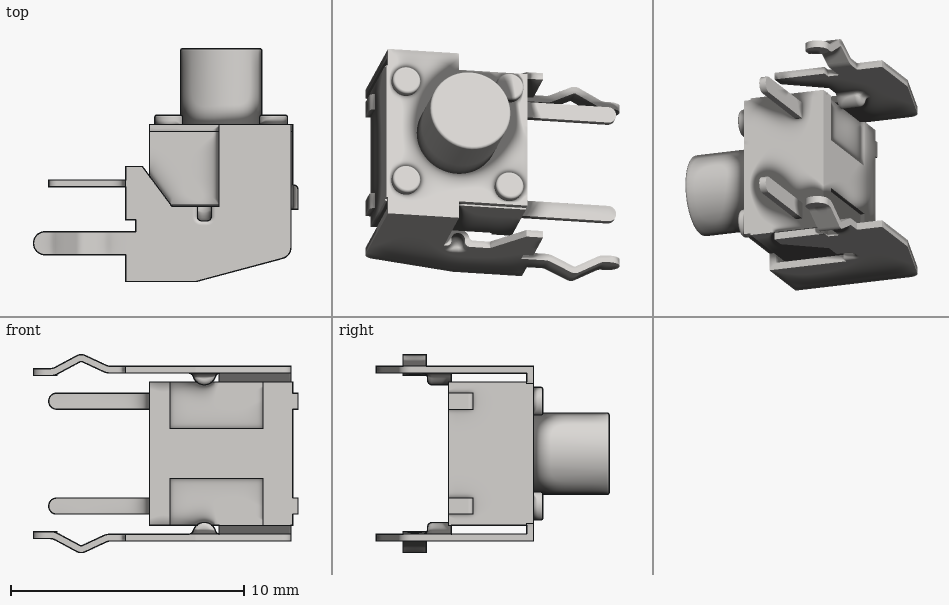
import cadquery as cq
import math


SHEET = 0.3

BODY_SIZE = 6.15
BODY_HALF = BODY_SIZE / 2
BODY_BACK = -3.65
POCKET_LEFT = -2.2
POCKET_RIGHT = 1.8
POCKET_HEIGHT = 2.0
POCKET_DEPTH = 0.2

COVER_HEIGHT = 6.0
BUTTON_DIAMETER = 3.5
BUTTON_LENGTH = 3.25
BUTTON_ROUND = 0.1
BOSS_DIAMETER = 1.2
BOSS_LENGTH = 0.4
BOSS_ROUND = 0.1
BOSS_OFFSET = 2.25

PIN_WIDTH = 0.7
PIN_OFFSET = 2.25
PIN_TIP = -7.4
TIP_FLAT = 0.0005
PIN_FRONT = -2.38
STUB_END = 3.3
STUB_FRONT = -2.6
STUB_ROUND = 0.2

PLATE_OUTER = 3.75
PLATE_INNER = PLATE_OUTER - SHEET
PLATE_LEFT = -4.1
PLATE_RIGHT = 3.0
PLATE_BACK = -6.75
PLATE_BACK_RIGHT = -1.08
SLOPE_ANGLE = 15
PLATE_CORNER_ROUND = 0.5
TAB_LEFT = -0.1
STEP = -3.53
STEP_LEFT = -2.1
ARM_FRONT = -1.8
ARM_RIGHT = -3.38
NOTCH_FRONT = -4.1
NOTCH_DEPTH = 0.43

LEG_WIDTH = 1.0
LEG_FRONT = -4.6
LEG_MIDDLE = LEG_FRONT - LEG_WIDTH / 2
LEG_TIP = -8.05
TIP_OUTER = 3.65
CREST_OUTER = 4.25
CREST_X = -6.0
TIP_SLOPE = math.radians(28.2)
PLATE_SLOPE = math.radians(25)
CREST_ROUND = 0.4
BEND_ROUND = 0.45

DETENT_X = -0.72
DETENT_RADIUS = 0.5
DETENT_END = -4.55
DETENT_ROUND = 0.2
DETENT_FLARE = 0.2
HOLLOW_RADIUS = 0.3
HOLLOW_END = -4.14
HOLLOW_ROUND = 0.18
HOLLOW_FLARE = 0.2
TOUCH = 0.01


def box(x, y, z):
    """Block between the given (low, high) limits."""
    size = [high - low for low, high in (x, y, z)]
    return cq.Workplane("XY").box(*size, centered=False).translate((x[0], y[0], z[0]))


def both_sides(upper):
    """The given shape together with its mirror image about Z = 0."""
    return upper.union(upper.mirror("XY"))


def peg(diameter, length, edge_round, x=0.0, z=0.0):
    """Cylinder rising along +Y from the cover, rooted inside the housing."""
    return (
        cq.Workplane("XZ", origin=(x, -SHEET, z))
        .circle(diameter / 2)
        .extrude(-(length + SHEET))
        .faces(">Y").edges().fillet(edge_round)
    )


def make_housing():
    body = box((-BODY_HALF, BODY_HALF), (BODY_BACK, -SHEET), (-BODY_HALF, BODY_HALF))
    pocket = box(
        (POCKET_LEFT, POCKET_RIGHT),
        (BODY_BACK, BODY_BACK + POCKET_DEPTH),
        (BODY_HALF - POCKET_HEIGHT, BODY_HALF),
    )
    return body.cut(both_sides(pocket))


def make_button_face():
    half_height = COVER_HEIGHT / 2
    face = box((-BODY_HALF, BODY_HALF), (-SHEET, 0), (-half_height, half_height))
    face = face.union(peg(BUTTON_DIAMETER, BUTTON_LENGTH, BUTTON_ROUND))
    for x in (-BOSS_OFFSET, BOSS_OFFSET):
        for z in (-BOSS_OFFSET, BOSS_OFFSET):
            face = face.union(peg(BOSS_DIAMETER, BOSS_LENGTH, BOSS_ROUND, x, z))
    return face


def make_upper_terminal():
    bottom = PIN_OFFSET - PIN_WIDTH / 2
    top = PIN_OFFSET + PIN_WIDTH / 2
    pin = box((PIN_TIP, 0), (PIN_FRONT - SHEET, PIN_FRONT), (bottom, top))
    pin = pin.edges("|Y and <X").fillet(PIN_WIDTH / 2 - TIP_FLAT)
    stub = box((0, STUB_END), (BODY_BACK + POCKET_DEPTH, STUB_FRONT), (bottom, top))
    foot = box((BODY_HALF - SHEET, STUB_END), (BODY_BACK, STUB_FRONT), (bottom, top))
    stub = stub.union(foot).edges("|Z and >X and >Y").fillet(STUB_ROUND)
    return pin.union(stub)


def make_upper_plate():
    slope_rise = (PLATE_RIGHT - PLATE_BACK_RIGHT) * math.tan(math.radians(SLOPE_ANGLE))
    outline = [
        (PLATE_RIGHT, 0),
        (TAB_LEFT, 0),
        (TAB_LEFT, STEP),
        (STEP_LEFT, STEP),
        (ARM_RIGHT, ARM_FRONT),
        (PLATE_LEFT, ARM_FRONT),
        (PLATE_LEFT, NOTCH_FRONT),
        (PLATE_LEFT + NOTCH_DEPTH, NOTCH_FRONT),
        (PLATE_LEFT + NOTCH_DEPTH, LEG_FRONT),
        (PLATE_LEFT, LEG_FRONT),
        (PLATE_LEFT, PLATE_BACK),
        (PLATE_BACK_RIGHT, PLATE_BACK),
        (PLATE_RIGHT, PLATE_BACK + slope_rise),
    ]
    plate = cq.Workplane("XY", origin=(0, 0, PLATE_INNER)).polyline(outline).close().extrude(SHEET)
    slope_corner = cq.NearestToPointSelector((*outline[-1], PLATE_OUTER - SHEET / 2))
    plate = plate.edges(slope_corner).fillet(PLATE_CORNER_ROUND)
    tab = box((TAB_LEFT, PLATE_RIGHT), (-SHEET, 0), (COVER_HEIGHT / 2, PLATE_INNER))
    return plate.union(tab)


def make_upper_leg():
    """Bent strip: flat tip, rise to the crest, fall to the plate, all of one thickness."""
    apex_distance = CREST_ROUND / math.cos((TIP_SLOPE + PLATE_SLOPE) / 2)
    apex_tilt = (TIP_SLOPE - PLATE_SLOPE) / 2
    apex_x = CREST_X - apex_distance * math.sin(apex_tilt)
    apex_z = CREST_OUTER - CREST_ROUND + apex_distance * math.cos(apex_tilt)
    tip_bend_x = apex_x - (apex_z - TIP_OUTER) / math.tan(TIP_SLOPE)
    plate_bend_x = apex_x + (apex_z - PLATE_OUTER) / math.tan(PLATE_SLOPE)
    tip_center_x = LEG_TIP + LEG_WIDTH / 2

    corners = [
        (tip_center_x, TIP_OUTER, 0, 0),
        (tip_bend_x, TIP_OUTER, 0, TIP_SLOPE),
        (apex_x, apex_z, TIP_SLOPE, -PLATE_SLOPE),
        (plate_bend_x, PLATE_OUTER, -PLATE_SLOPE, 0),
        (PLATE_LEFT + NOTCH_DEPTH, PLATE_OUTER, 0, 0),
    ]
    outer_side = [(x, z) for x, z, _, _ in corners]
    inner_side = []
    for x, z, before, after in corners:
        middle = (before + after) / 2
        miter = SHEET / math.cos((after - before) / 2)
        inner_side.append((x + miter * math.sin(middle), z - miter * math.cos(middle)))

    leg = (
        cq.Workplane("XZ", origin=(0, LEG_FRONT, 0))
        .polyline(outer_side + inner_side[::-1])
        .close()
        .extrude(LEG_WIDTH)
    )
    bend_rounds = [
        (outer_side[1], BEND_ROUND),
        (inner_side[1], BEND_ROUND + SHEET),
        (outer_side[2], CREST_ROUND),
        (inner_side[2], CREST_ROUND - SHEET),
        (outer_side[3], BEND_ROUND),
        (inner_side[3], BEND_ROUND + SHEET),
    ]
    for (x, z), bend_round in bend_rounds:
        bend_middle = (x, LEG_MIDDLE, z)
        leg = leg.edges(cq.NearestToPointSelector(bend_middle)).fillet(bend_round)
    tip_round = (
        cq.Workplane("XY", origin=(tip_center_x, LEG_MIDDLE, TIP_OUTER - SHEET))
        .circle(LEG_WIDTH / 2)
        .extrude(SHEET)
    )
    return leg.union(tip_round)


def detent_form(radius, end, end_round):
    """Half-round ridge along Y with a rounded rear end, its axis in the plate's inner face."""
    form = (
        cq.Workplane("XZ", origin=(DETENT_X, STEP, 0))
        .moveTo(-radius, PLATE_OUTER)
        .lineTo(-radius, PLATE_INNER)
        .threePointArc((0, PLATE_INNER - radius), (radius, PLATE_INNER))
        .lineTo(radius, PLATE_OUTER)
        .close()
        .extrude(STEP - end)
    )
    rear_edges = form.faces("<Y").edges("not(>Z)")
    return rear_edges.fillet(end_round)


def flare(plate, face_z, radius, end, flare_round):
    """Round the rim where a detent form of the given radius meets the plate face at face_z."""
    rim = cq.selectors.BoxSelector(
        (DETENT_X - radius - TOUCH, end - TOUCH, face_z - TOUCH),
        (DETENT_X + radius + TOUCH, STEP - TOUCH, face_z + TOUCH),
    )
    return plate.edges(rim).fillet(flare_round)


def add_detent(plate):
    ridge = detent_form(DETENT_RADIUS, DETENT_END, DETENT_ROUND)
    hollow = detent_form(HOLLOW_RADIUS, HOLLOW_END, HOLLOW_ROUND)
    plate = plate.union(ridge)
    plate = flare(plate, PLATE_INNER, DETENT_RADIUS, DETENT_END, DETENT_FLARE)
    plate = plate.cut(hollow)
    return flare(plate, PLATE_OUTER, HOLLOW_RADIUS, HOLLOW_END, HOLLOW_FLARE)


upper_bracket = add_detent(make_upper_plate()).union(make_upper_leg())
result = (
    make_housing()
    .union(make_button_face())
    .union(both_sides(upper_bracket))
    .union(both_sides(make_upper_terminal()))
)